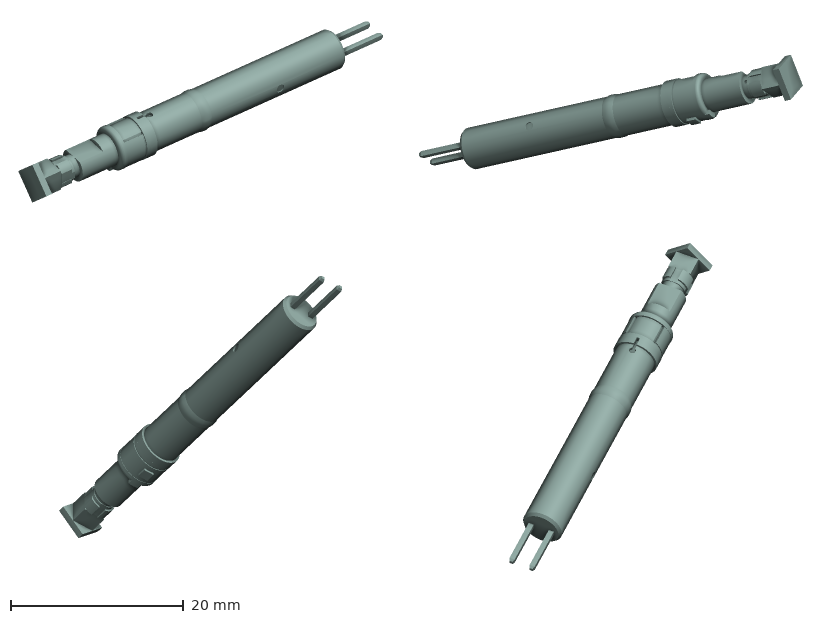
import cadquery as cq
import math


plate_side = 4.0
plate_thickness = 0.8
shank_width = 2.8
claw_start = 3.1
claw_end = 4.6
claw_radius = 1.8
claw_flat_x = 1.5
slot_count = 4
slot_width = 0.9
slot_floor_radius = 1.45
collar_end = 5.0
collar_radius = 1.55
neck_radius = shank_width / 2
neck_hole_center = 5.25
neck_hole_radius = 0.22
neck_hole_depth = 0.3

barrel_start = 5.75
barrel_radius = 2.0
flat_end = 9.05
flat_height = math.sqrt(barrel_radius**2 - (shank_width / 2) ** 2)

ring_start = 10.8
ring_radius = 2.74
ring_round = 0.45
window_start = 11.65
window_end = 14.4
window_floor_radius = 2.5
window_half_angle = 45
pad_radius = 2.7
relief_width = 0.22
relief_radius = 2.6
slit_width = 0.3
slit_floor_radius = 2.3
key_width = 1.3
key_start = 12.35
key_end = 13.55
overall_height = 5.78
key_bottom = plate_side / math.sqrt(2) - overall_height
nub_start = 10.5
nub_top = -2.1

flange_start = 14.9
flange_end = 15.85
tube_radius = 2.45
tube_end = 42.85
end_chamfer_length = 0.35
end_chamfer_depth = 0.27
bulge_start = 22.35
bulge_end = 23.8
bulge_radius = 2.58
keyhole_center = 16.65
keyhole_radius = 0.4
keyhole_slit_width = 0.38
wall_depth = 0.4
dimple_center = 33.48
dimple_radius = 0.52
dimple_depth = 0.2

post_width = 0.64
post_pitch = 2.54
post_tip = 48.7
post_chamfer_length = 0.35
post_chamfer_depth = 0.13


def cylinder(start, end, radius):
    """A round bar along Y between two stations."""
    return cq.Workplane("XZ", origin=(0, start, 0)).circle(radius).extrude(start - end)


def block(x_range, y_range, z_range):
    """A box between two limits on each axis."""
    low, high = zip(x_range, y_range, z_range)
    size = [b - a for a, b in zip(low, high)]
    return cq.Workplane().box(*size, centered=False).translate(low)


def annulus(start, end, inner_radius, outer_radius):
    """A round sleeve along Y between two stations."""
    return cylinder(start, end, outer_radius).cut(cylinder(start, end, inner_radius))


def centered(width):
    """Limits of a width that is centred on the axis."""
    return (-width / 2, width / 2)


def make_plunger():
    """Diamond contact plate, square shank, slotted claws and round neck with a side hole."""
    plate = block(centered(plate_side), (0, plate_thickness), centered(plate_side))
    plate = plate.rotate((0, 0, 0), (0, 1, 0), 45)
    shank = block(centered(shank_width), (plate_thickness, claw_start), centered(shank_width))

    claws = cylinder(claw_start, claw_end, claw_radius)
    claws = claws.union(cylinder(claw_end, collar_end, collar_radius))
    slot = block(centered(slot_width), (claw_start, collar_end), (slot_floor_radius, claw_radius))
    for index in range(slot_count):
        claws = claws.cut(slot.rotate((0, 0, 0), (0, 1, 0), index * 360 / slot_count))
    claws = claws.cut(
        block((claw_flat_x, claw_radius), (claw_start, collar_end), centered(2 * claw_radius))
    )

    neck = cylinder(collar_end, barrel_start, neck_radius)
    neck_hole = (
        cq.Workplane("YZ", origin=(-neck_radius, neck_hole_center, 0))
        .circle(neck_hole_radius)
        .extrude(neck_hole_depth)
    )
    neck = neck.cut(neck_hole)
    return plate.union(shank).union(claws).union(neck)


def make_barrel():
    """Round barrel with a flat on its upper front side."""
    barrel = cylinder(barrel_start, ring_start, barrel_radius)
    above_flat = block(
        centered(2 * barrel_radius), (barrel_start, flat_end), (flat_height, barrel_radius)
    )
    return barrel.cut(above_flat)


def make_head_ring():
    """Ring with a rounded front edge, pads around an upper window and a key underneath."""
    ring = cylinder(ring_start, flange_start, ring_radius)
    ring = ring.faces("<Y").edges().fillet(ring_round)

    reach = 2 * ring_radius
    half_width = reach * math.tan(math.radians(window_half_angle))
    window = (
        cq.Workplane("XZ", origin=(0, window_start, 0))
        .polyline([(0, 0), (half_width, reach), (-half_width, reach)])
        .close()
        .extrude(window_start - window_end)
        .cut(cylinder(window_start, window_end, window_floor_radius))
    )
    ring = ring.cut(window)

    ring = ring.cut(annulus(window_start, window_end, pad_radius, ring_radius))
    ring = ring.cut(annulus(window_end - relief_width, window_end, relief_radius, ring_radius))

    slit = block((0, slit_width), (window_start, window_end), (slit_floor_radius, ring_radius))
    left_slit = slit.rotate((0, 0, 0), (0, 1, 0), -window_half_angle)
    ring = ring.cut(left_slit).cut(left_slit.mirror("YZ"))

    key = block(centered(key_width), (key_start, key_end), (key_bottom, -barrel_radius))
    nub = block(centered(key_width), (nub_start, window_start), (-ring_radius, nub_top))
    nub = nub.intersect(cylinder(nub_start, window_start, ring_radius))
    return ring.union(key).union(nub)


def make_bulge():
    """Barrel-shaped swelling whose profile is an arc over the tube surface."""
    middle = (bulge_start + bulge_end) / 2
    return (
        cq.Workplane("XY")
        .moveTo(0, bulge_start)
        .lineTo(tube_radius, bulge_start)
        .threePointArc((bulge_radius, middle), (tube_radius, bulge_end))
        .lineTo(0, bulge_end)
        .close()
        .revolve(360, (0, 0, 0), (0, 1, 0))
    )


def make_keyhole():
    """Slit through the flange that ends in a round hole, cut down from the top."""
    floor = tube_radius - wall_depth
    hole = (
        cq.Workplane("XY", origin=(0, keyhole_center, floor))
        .circle(keyhole_radius)
        .extrude(ring_radius - floor)
    )
    slit = block(centered(keyhole_slit_width), (flange_start, keyhole_center), (floor, ring_radius))
    return hole.union(slit)


def make_receptacle():
    """Tube with a front flange, bulge, keyhole and two side dimples."""
    tube = cylinder(flange_start, tube_end, tube_radius)
    tube = tube.faces(">Y").chamfer(end_chamfer_length, end_chamfer_depth)
    body = tube.union(cylinder(flange_start, flange_end, ring_radius)).union(make_bulge())
    body = body.cut(make_keyhole())
    for side in (-1, 1):
        dimple = (
            cq.Workplane("YZ", origin=(side * tube_radius, dimple_center, 0))
            .circle(dimple_radius)
            .extrude(-side * dimple_depth)
        )
        body = body.cut(dimple)
    return body


def make_post(x):
    """Square terminal post with a tapered tip."""
    shoulder = post_tip - post_chamfer_length
    tip_width = post_width - 2 * post_chamfer_depth
    stem = block(centered(post_width), (tube_end, shoulder), centered(post_width))
    tip = (
        cq.Workplane("XZ", origin=(0, shoulder, 0))
        .rect(post_width, post_width)
        .workplane(offset=-post_chamfer_length)
        .rect(tip_width, tip_width)
        .loft(ruled=True)
    )
    return stem.union(tip).translate((x, 0, 0))


probe = make_plunger().union(make_barrel()).union(make_head_ring())
receptacle = make_receptacle()
posts = [make_post(x) for x in centered(post_pitch)]

result = cq.Compound.makeCompound([probe.val(), receptacle.val(), *[post.val() for post in posts]])